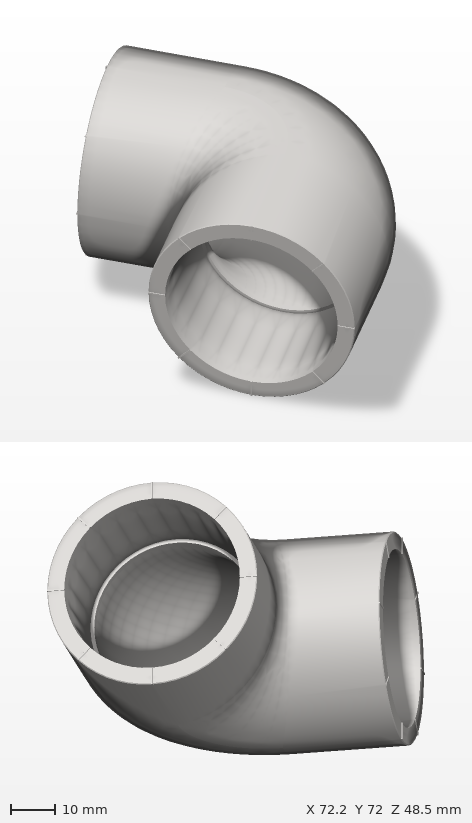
import cadquery as cq
import math

overall_x = 72.2
overall_y = 72.0

outer_radius = 24.25
bend_radius = 20.0
crotch_radius = 2.5
crotch_steps = 12

mouth_radius = 20.3
socket_end_radius = 19.8
socket_depth = 26.0
bore_radius = 18.9

edge_chamfer = 0.2

bar_count = 4
rib_width = 0.35
rib_height = 0.2

face_x = overall_x - outer_radius - rib_height
face_y = overall_y - outer_radius - rib_height
crotch_corner = -(outer_radius + crotch_radius)


def to_y_arm(shape):
    """Turn a shape on the X arm over onto the Y arm; every shape is symmetric in Z."""
    return shape.rotate((0, 0, 0), (1, 1, 0), 180)


def arm(face):
    """Straight solid arm along -X, ending on the planes where the bend takes over."""
    footprint = [
        (-face, outer_radius),
        (-bend_radius, outer_radius),
        (-bend_radius, 0),
        (crotch_corner, -outer_radius),
        (-face, -outer_radius),
    ]
    limits = cq.Workplane("XY").polyline(footprint).close().extrude(outer_radius, both=True)
    rod = cq.Workplane("YZ").circle(outer_radius).extrude(-face).faces("<X").chamfer(edge_chamfer)
    return rod.intersect(limits)


def outer_bend():
    """Quarter turn of the half disc outside the bend centreline."""
    return (
        cq.Workplane("YZ", origin=(-bend_radius, 0, 0))
        .moveTo(0, -outer_radius)
        .threePointArc((outer_radius, 0), (0, outer_radius))
        .close()
        .revolve(90, (-bend_radius, 0.7), (-bend_radius, -0.7))
    )


def crotch_section(angle):
    """Upright half ellipse reaching from the bend centreline to the crotch fillet."""
    direction = cq.Vector(math.cos(angle), math.sin(angle))
    apex = cq.Vector(-bend_radius, -bend_radius) + direction * bend_radius
    nose = cq.Vector(crotch_corner, crotch_corner) + direction * crotch_radius
    reach = nose - apex
    plane = cq.Plane(origin=apex, xDir=reach, normal=reach.cross(cq.Vector(0, 0, 1)))
    half_ellipse = cq.Workplane(plane).ellipseArc(
        reach.Length, outer_radius, -90, 90, startAtCurrent=False
    )
    return half_ellipse.close().wire().val()


def crotch():
    """Inner half of the bend, its radius shrinking from the centreline to the crotch fillet."""
    quarter_turn = math.pi / 2
    sections = [crotch_section(quarter_turn * i / crotch_steps) for i in range(crotch_steps + 1)]
    return cq.Workplane(cq.Solid.makeLoft(sections))


def socket(face):
    """Tapered socket cavity in the X arm and the straight bore from its floor to the bend."""
    cone = cq.Solid.makeCone(
        mouth_radius, socket_end_radius, socket_depth, cq.Vector(-face, 0, 0), cq.Vector(1, 0, 0)
    )
    bore = cq.Workplane("YZ", origin=(-face, 0, 0)).circle(bore_radius).extrude(face - bend_radius)
    return bore.union(cq.Workplane(cone))


def bore_bend():
    """Round bore following the bend from one socket to the other."""
    return (
        cq.Workplane("YZ", origin=(-bend_radius, 0, 0))
        .circle(bore_radius)
        .revolve(90, (-bend_radius, 0.7), (-bend_radius, -0.7))
    )


def ribs(face):
    """Low radial ribs on the end face of the X arm, rooted deep enough to fill its chamfer."""
    root_plane = cq.Workplane("YZ", origin=(edge_chamfer - face, 0, 0))
    thickness = edge_chamfer + rib_height
    ring = root_plane.circle(outer_radius).circle(mouth_radius).extrude(-thickness)
    bars = cq.Workplane("YZ")
    for i in range(bar_count):
        bar = root_plane.rect(2 * outer_radius + rib_width, rib_width).extrude(-thickness)
        bars = bars.union(bar.rotate((0, 0, 0), (1, 0, 0), 180 * i / bar_count))
    return ring.intersect(bars)


body = arm(face_x).union(to_y_arm(arm(face_y))).union(outer_bend()).union(crotch())
hollow = body.cut(bore_bend()).cut(socket(face_x)).cut(to_y_arm(socket(face_y)))
result = hollow.union(ribs(face_x)).union(to_y_arm(ribs(face_y)))